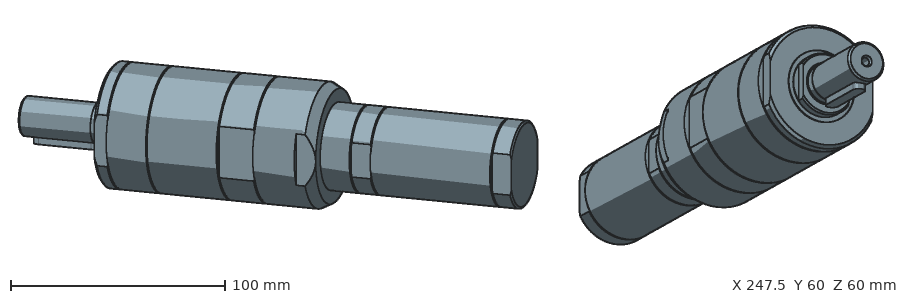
import cadquery as cq
import math

total_length = 247.5

shaft_diameter = 19.0
shaft_neck_diameter = 18.8
shaft_neck_start = 36.0
tip_chamfer_length = 1.0
tip_chamfer_depth = 1.0

centre_mouth_diameter = 5.5
centre_bore_diameter = 4.0
countersink_angle = 60.0
centre_bore_depth = 7.5
drill_point_angle = 118.0

key_start = 4.7
key_length = 32.2
key_width = 6.2
key_reach = 12.4

collar_start = 39.5
collar_diameter = 30.0
collar_chamfer_length = 0.7
collar_chamfer_depth = 0.87
collar_across_flats = 24.3
collar_bore_diameter = 20.3
collar_gap_depth = 0.5

groove_diameter = 35.0
groove_depth = 0.5

body_start = 44.0
body_end = 153.7
body_diameter = 60.0
body_chamfer = 1.5
body_joints = (51.0, 71.0, 106.0, 123.5)
body_taper_start = 148.5
body_end_diameter = 54.5
body_across_flats = 54.5
rear_flat_start = 144.0

barrel_diameter = 41.5
barrel_joints = (168.5, 178.5, 238.0)
barrel_across_flats = 38.0
end_across_flats = 36.6
end_chamfer_length = 0.7
end_diameter = 39.5

joint_bevel = 0.5


def joint_points(position, diameter):
    """Profile points of a bevelled edge that meets the full diameter of the next section."""
    radius = diameter / 2
    return [
        (position - joint_bevel, radius),
        (position, radius - joint_bevel),
        (position, radius),
    ]


def turned_profile():
    """Half section from the shaft tip to the rear end."""
    shaft_radius = shaft_diameter / 2
    neck_radius = shaft_neck_diameter / 2
    collar_radius = collar_diameter / 2
    body_radius = body_diameter / 2
    barrel_radius = barrel_diameter / 2

    points = [
        (0, 0),
        (0, shaft_radius - tip_chamfer_depth),
        (tip_chamfer_length, shaft_radius),
        (shaft_neck_start, shaft_radius),
        (shaft_neck_start, neck_radius),
        (collar_start + collar_gap_depth, neck_radius),
        (collar_start + collar_gap_depth, collar_bore_diameter / 2),
        (collar_start, collar_bore_diameter / 2),
        (collar_start, collar_radius - collar_chamfer_depth),
        (collar_start + collar_chamfer_length, collar_radius),
        (body_start + groove_depth, collar_radius),
        (body_start + groove_depth, groove_diameter / 2),
        (body_start, groove_diameter / 2),
        (body_start, body_radius - body_chamfer),
        (body_start + body_chamfer, body_radius),
    ]
    for joint in body_joints:
        points += joint_points(joint, body_diameter)
    points += [
        (body_taper_start, body_radius),
        (body_end, body_end_diameter / 2),
        (body_end, barrel_radius),
    ]
    for joint in barrel_joints:
        points += joint_points(joint, barrel_diameter)
    points += [
        (total_length - end_chamfer_length, barrel_radius),
        (total_length, end_diameter / 2),
        (total_length, 0),
    ]
    return points


def flat_cutters(start, end, across_flats):
    """Two blocks that leave flats facing -Y and +Y between two X positions."""
    size = body_diameter
    offset = (across_flats + size) / 2
    return (
        cq.Workplane("XY")
        .pushPoints([((start + end) / 2, -offset), ((start + end) / 2, offset)])
        .box(end - start, size, size)
    )


def feather_key():
    """Round-ended key standing out of the shaft towards -Z."""
    return (
        cq.Workplane("XY")
        .center(key_start + key_length / 2, 0)
        .slot2D(key_length, key_width)
        .extrude(-key_reach)
    )


def centre_hole():
    """Countersunk centre hole along the shaft axis."""
    mouth_radius = centre_mouth_diameter / 2
    bore_radius = centre_bore_diameter / 2
    countersink_depth = (mouth_radius - bore_radius) / math.tan(math.radians(countersink_angle / 2))
    point_depth = bore_radius / math.tan(math.radians(drill_point_angle / 2))
    return (
        cq.Workplane("XY")
        .polyline([
            (0, 0),
            (0, mouth_radius),
            (countersink_depth, bore_radius),
            (centre_bore_depth, bore_radius),
            (centre_bore_depth + point_depth, 0),
        ])
        .close()
        .revolve(360, (0, 0, 0), (1, 0, 0))
    )


flats = (
    (collar_start, body_start, collar_across_flats),
    (body_start, body_joints[0], body_across_flats),
    (body_joints[2], body_joints[3], body_across_flats),
    (rear_flat_start, body_end, body_across_flats),
    (barrel_joints[0], barrel_joints[1], barrel_across_flats),
    (barrel_joints[2], total_length, end_across_flats),
)

result = (
    cq.Workplane("XY")
    .polyline(turned_profile())
    .close()
    .revolve(360, (0, 0, 0), (1, 0, 0))
)
for start, end, across_flats in flats:
    result = result.cut(flat_cutters(start, end, across_flats))
result = result.union(feather_key()).cut(centre_hole())